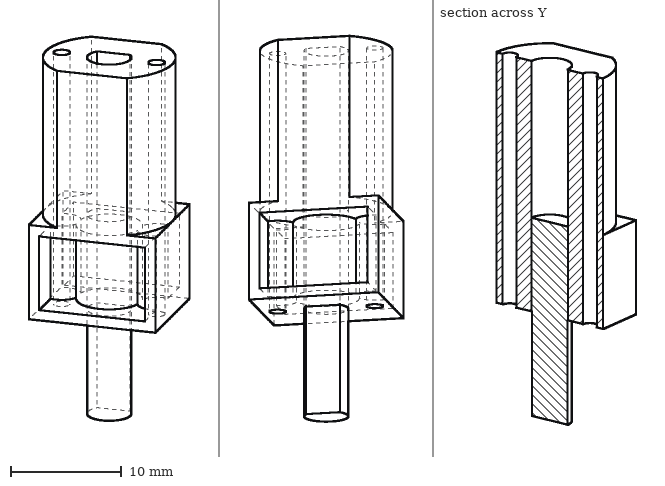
import cadquery as cq
import math

total_height = 34.0
shaft_projection = 10.0
block_height = 9.0
block_top = shaft_projection + block_height

housing_width = 12.0
housing_depth = 10.0
wall = 1.0
hub_diameter = 6.0
boss_diameter = 3.5
screw_hole_diameter = 1.5
screw_spacing = 9.0

shaft_radius = 2.0
shaft_flat_y = 1.25


def d_prism(bottom, top):
    """Round bar along Z with one flat facing +Y."""
    half_flat = math.sqrt(shaft_radius**2 - shaft_flat_y**2)
    return (
        cq.Workplane("XY", origin=(0, 0, bottom))
        .moveTo(-half_flat, shaft_flat_y)
        .threePointArc((0, -shaft_radius), (half_flat, shaft_flat_y))
        .close()
        .extrude(top - bottom)
    )


def make_block():
    """Rectangular frame, open from front to back, with a hub and two bosses inside."""
    block = (
        cq.Workplane("XY", origin=(0, 0, shaft_projection))
        .rect(housing_width, housing_depth)
        .extrude(block_height)
    )
    window = cq.Workplane("XY").box(
        housing_width - 2 * wall, housing_depth, block_height - 2 * wall
    ).translate((0, 0, shaft_projection + block_height / 2))
    hub = (
        cq.Workplane("XY", origin=(0, 0, shaft_projection))
        .circle(hub_diameter / 2)
        .extrude(block_height)
    )
    bosses = (
        cq.Workplane("XY", origin=(0, 0, shaft_projection))
        .rarray(screw_spacing, 0.35, 2, 1)
        .circle(boss_diameter / 2)
        .extrude(block_height)
    )
    columns = hub.union(bosses).intersect(block)
    return block.cut(window).union(columns)


def make_barrel():
    """Cylinder with flats that match the front and back of the block."""
    barrel_height = total_height - block_top
    barrel = (
        cq.Workplane("XY", origin=(0, 0, block_top))
        .circle(housing_width / 2)
        .extrude(barrel_height)
    )
    flats = (
        cq.Workplane("XY", origin=(0, 0, block_top))
        .rect(housing_width, housing_depth)
        .extrude(barrel_height)
    )
    return barrel.intersect(flats)


def make_housing():
    """Block and barrel with a through D bore and two through screw holes."""
    screw_holes = (
        cq.Workplane("XY")
        .rarray(screw_spacing, 0.35, 2, 1)
        .circle(screw_hole_diameter / 2)
        .extrude(total_height)
    )
    bore = d_prism(shaft_projection, total_height)
    return make_block().union(make_barrel()).cut(screw_holes).cut(bore)


def make_shaft():
    """D shaft that fills the bore through the block and leaves the barrel's bore open."""
    return d_prism(0, block_top)


housing = make_housing()
shaft = make_shaft()
result = cq.Compound.makeCompound([*housing.solids().vals(), shaft.val()])